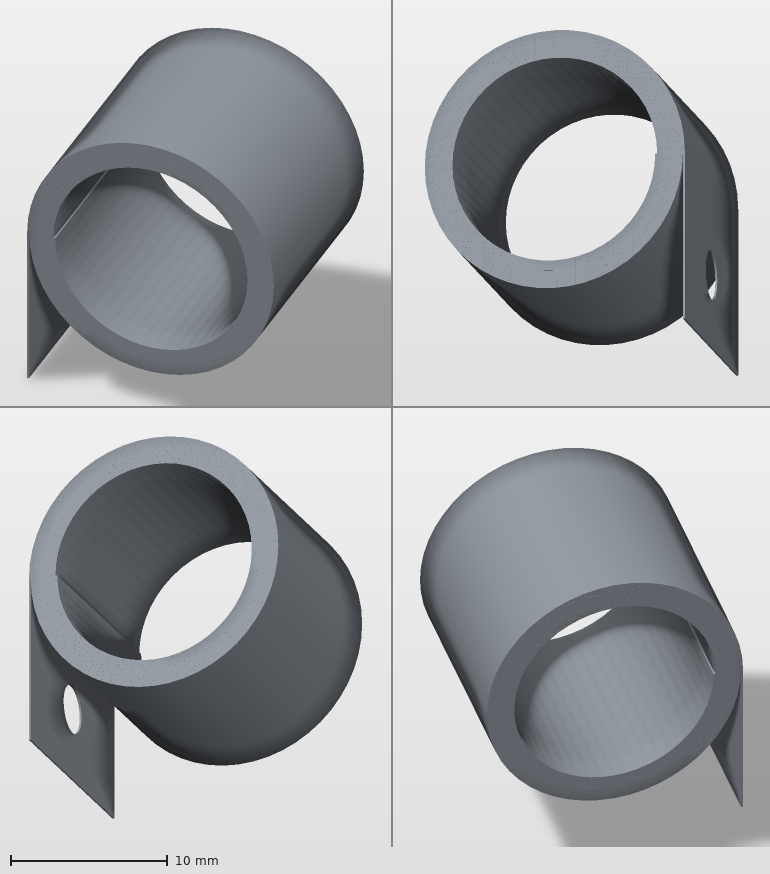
import cadquery as cq

strip_width = 15.0
strip_thickness = 0.129
coil_gap = 0.0012
turns = 14
coil_outer_radius = 8.53
tail_length = 11.0
hole_diameter = 3.2
hole_to_tail_end = 4.77

pitch = strip_thickness + coil_gap
outer_start_radius = coil_outer_radius - turns * pitch
inner_start_radius = outer_start_radius - strip_thickness


def wind(profile, start_radius):
    """Wind outward from (-start_radius, 0), as a lower and an upper half circle per turn.

    Upper halves are centred on the origin; lower halves sit half a pitch to the right.
    """
    for turn in range(turns):
        left = start_radius + turn * pitch
        right = left + pitch
        lower_radius = (left + right) / 2
        profile = profile.threePointArc((pitch / 2, -lower_radius), (right, 0))
        profile = profile.threePointArc((0, right), (-right, 0))
    return profile


def unwind(profile, start_radius):
    """Follow the same spiral inward, back to (-start_radius, 0)."""
    for turn in reversed(range(turns)):
        left = start_radius + turn * pitch
        right = left + pitch
        lower_radius = (left + right) / 2
        profile = profile.threePointArc((0, right), (right, 0))
        profile = profile.threePointArc((pitch / 2, -lower_radius), (-left, 0))
    return profile


def make_strip():
    """Extrude the spiral and its tangent tail across the strip width."""
    tail_inner_x = -(coil_outer_radius - strip_thickness)
    profile = cq.Workplane("XZ").moveTo(-inner_start_radius, 0)
    profile = wind(profile, inner_start_radius)
    profile = profile.lineTo(tail_inner_x, -tail_length)
    profile = profile.lineTo(-coil_outer_radius, -tail_length)
    profile = profile.lineTo(-coil_outer_radius, 0)
    profile = unwind(profile, outer_start_radius)
    return profile.close().extrude(strip_width / 2, both=True)


def make_tail_hole():
    """Cutter through the tail only, short enough to miss the coil behind it."""
    hole_z = hole_to_tail_end - tail_length
    return (
        cq.Workplane("YZ", origin=(-coil_outer_radius, 0, hole_z))
        .circle(hole_diameter / 2)
        .extrude(strip_thickness)
    )


result = make_strip().cut(make_tail_hole())